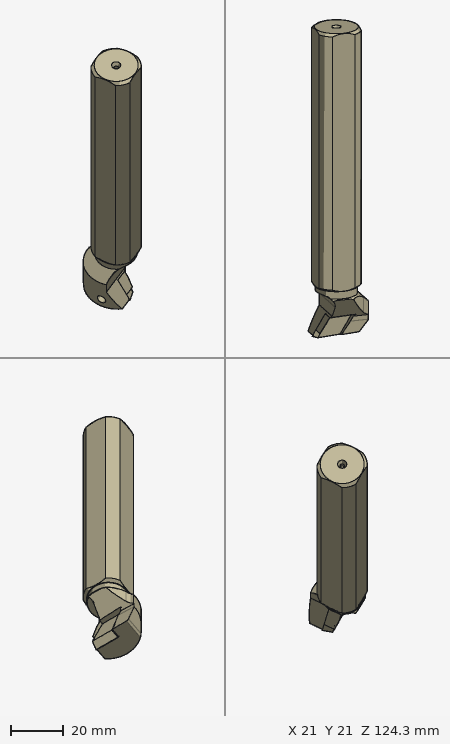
import cadquery as cq
import math

total_length = 124.3
shank_radius = 9.6
half_across_flats = 8.5
shank_bottom = 21.0
shank_chamfer_height = 1.0
shank_end_radius = 8.3

centre_mouth_radius = 1.7
centre_drill_radius = 0.9
centre_cone_depth = 1.5
centre_drill_depth = 3.1

neck_radius = 8.1
head_radius = 12.5
neck_bottom = 18.0
cone_bottom = neck_bottom - (head_radius - neck_radius)
seat_y = 1.1
heel_chamfer_top = 6.1
heel_corner = (-9.1, 1.2)
heel_fillet = 1.2
nose_corner = (8.1, 0.31)
gullet_x = 2.6
gullet_low_z = 9.5
gullet_high_z = 14.2
gullet_arc_mid = (4.3, 17.6)
gullet_arc_end = (half_across_flats, 19.1)
back_lip_z = 8.1
back_foot_y = 0.0
back_seat_end_z = 6.2
back_arc_mid = (4.2, 11.5)
back_arc_end_z = 17.5
side_wall_x = -11.7
side_wall_angle = 42.0
side_wall_fillet = 6.2

tip_x = 8.3
insert_side = 10.1
tip_angle = 55.0
edge_tilt = 3.0
clearance_angle = 7.0
insert_floor_y = -4.1
insert_thickness = 4.0
hole_radius = 1.7

reach = 2 * head_radius


def make_shank():
    """Round bar with four flats and conical ends."""
    low = shank_bottom + shank_chamfer_height
    high = total_length - shank_chamfer_height
    bar = (
        cq.Workplane("XZ")
        .polyline([
            (0, shank_bottom),
            (shank_end_radius, shank_bottom),
            (shank_radius, low),
            (shank_radius, high),
            (shank_end_radius, total_length),
            (0, total_length),
        ])
        .close()
        .revolve(360, (0, 0), (0, 1))
    )
    width = 2 * half_across_flats
    flats = cq.Workplane("XY").rect(width, width).extrude(total_length)
    return bar.intersect(flats)


def centre_hole():
    cone_end = total_length - centre_cone_depth
    drill_end = total_length - centre_drill_depth
    return (
        cq.Workplane("XZ")
        .polyline([
            (0, total_length),
            (centre_mouth_radius, total_length),
            (centre_drill_radius, cone_end),
            (centre_drill_radius, drill_end),
            (0, drill_end),
        ])
        .close()
        .revolve(360, (0, 0), (0, 1))
    )


def round_head():
    """Neck, 45 degree flare and cylindrical head before milling."""
    return (
        cq.Workplane("XZ")
        .polyline([
            (0, 0),
            (head_radius, 0),
            (head_radius, cone_bottom),
            (neck_radius, neck_bottom),
            (neck_radius, shank_bottom),
            (0, shank_bottom),
        ])
        .close()
        .revolve(360, (0, 0), (0, 1))
    )


def head_side_outline():
    """XZ outline: chamfered heel at -X and chip gullet at +X."""
    outline = (
        cq.Workplane("XZ")
        .moveTo(-head_radius, shank_bottom)
        .lineTo(-head_radius, heel_chamfer_top)
        .lineTo(*heel_corner)
        .lineTo(*nose_corner)
        .lineTo(gullet_x, gullet_low_z)
        .lineTo(gullet_x, gullet_high_z)
        .threePointArc(gullet_arc_mid, gullet_arc_end)
        .lineTo(half_across_flats, shank_bottom)
        .close()
        .extrude(reach, both=True)
    )
    x, z = heel_corner
    heel_edge = cq.selectors.BoxSelector(
        (x - heel_fillet, -2 * reach, z - heel_fillet), (x + heel_fillet, 2 * reach, z + heel_fillet)
    )
    return outline.edges("|Y").edges(heel_edge).fillet(heel_fillet)


def head_back_outline():
    """YZ outline: the back sweeps in from the neck to the seat, then leans inwards."""
    return (
        cq.Workplane("YZ")
        .moveTo(-head_radius, 0)
        .lineTo(back_foot_y, 0)
        .lineTo(seat_y, back_seat_end_z)
        .lineTo(seat_y, back_lip_z)
        .threePointArc(back_arc_mid, (neck_radius, back_arc_end_z))
        .lineTo(neck_radius, shank_bottom)
        .lineTo(-head_radius, shank_bottom)
        .close()
        .extrude(reach, both=True)
    )


def back_pocket():
    """Removes the flare behind the seat, up to a slanted wall with a rounded foot."""
    wall_end_y = seat_y + reach * math.tan(math.radians(side_wall_angle))
    return (
        cq.Workplane("XY")
        .moveTo(-reach, seat_y)
        .lineTo(side_wall_x, seat_y)
        .lineTo(side_wall_x + reach, wall_end_y)
        .lineTo(-reach, wall_end_y)
        .close()
        .extrude(neck_bottom)
        .edges("|Z")
        .edges(cq.selectors.NearestToPointSelector((side_wall_x, seat_y, neck_bottom / 2)))
        .fillet(side_wall_fillet)
    )


def insert_direction(angle):
    """Unit X and Z steps at an angle measured from +X towards +Z."""
    return math.cos(math.radians(angle)), math.sin(math.radians(angle))


def insert_outline():
    """Rhombus on the pocket floor, with its sharp tip at Z = 0."""
    ux, uz = insert_direction(180 - edge_tilt)
    vx, vz = insert_direction(180 - edge_tilt - tip_angle)
    side = insert_side
    return (
        cq.Workplane("XZ", origin=(0, insert_floor_y, 0))
        .polyline([
            (tip_x, 0),
            (tip_x + side * ux, side * uz),
            (tip_x + side * (ux + vx), side * (uz + vz)),
            (tip_x + side * vx, side * vz),
        ])
        .close()
    )


def make_insert():
    return insert_outline().extrude(-insert_thickness, taper=clearance_angle)


def screw_hole():
    """Hole through the front wall, ending on the middle of the insert."""
    dx, dz = insert_direction(180 - edge_tilt - tip_angle / 2)
    distance = insert_side * math.cos(math.radians(tip_angle / 2))
    return (
        cq.Workplane("XZ", origin=(0, insert_floor_y, 0))
        .center(tip_x + distance * dx, distance * dz)
        .circle(hole_radius)
        .extrude(reach)
    )


def make_holder():
    head = round_head().intersect(head_side_outline()).intersect(head_back_outline())
    head = head.cut(back_pocket()).cut(insert_outline().extrude(-reach)).cut(screw_hole())
    return make_shank().cut(centre_hole()).union(head)


holder = make_holder()
insert = make_insert()

result = cq.Compound.makeCompound([holder.val(), insert.val()])